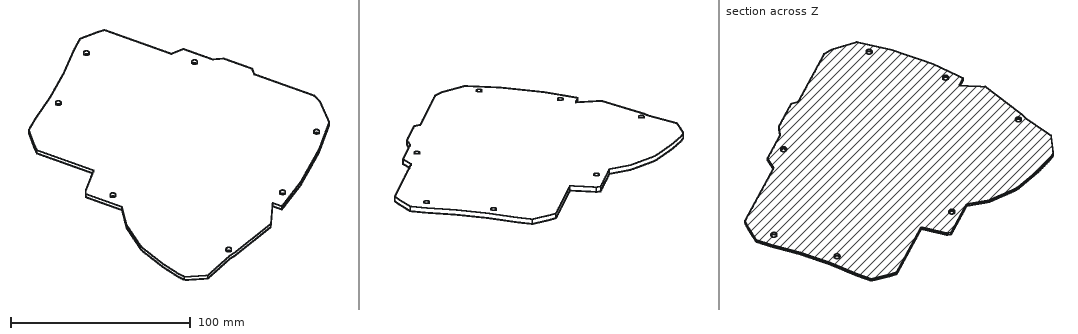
import cadquery as cq

LENGTH = 153.0
WIDTH = 148.2
THICKNESS = 3.0
RIGHT = LENGTH / 2
LEFT = -RIGHT
BACK = WIDTH / 2
FRONT = -BACK

LEFT_AXIS_Y = 19.1
LEFT_HALF_WIDTH = 46.0
CORNER_END_X = -66.6
CORNER_KINK = (-69.5, 43.2)
LEFT_TIP = (LEFT, 34.9)
HOLLOW = [(-76.4, 25.9), (-75.6, 16.7), (-75.0, 9.0)]

STEP_Y = 71.0
STEP_LEFT_X = -21.1
STEP_RIGHT_X = 59.0
STEP_SLOPE_START_X = -25.9
TOP_TAB_BASE = (-3.2, 22.2)
TOP_TAB_CREST = (2.1, 19.6)
BACK_CORNER_KINK = (63.5, 68.4)

BOW_AXIS_Y = 25.3
BOW_FLAT_HALF = 12.5
BOW_HALF = 32.3
BOW_END_X = 74.0

NOTCH_X = 68.3
LOBE_SHOULDER = (73.3, -20.7)
LOBE_SIDE = [(63.4, -47.0), (61.7, -50.0), (56.0, -68.0)]

LOBE_NOSE = [(45.8, -73.6), (44.4, FRONT), (40.7, -73.6)]
LOBE_CURVE = [(30.2, -70.9), (15.6, -65.5), (13.5, -64.5), (0.3, -54.2)]

FRONT_STEP_Y = -43.8
FRONT_STEP_RIGHT_X = -7.2
FRONT_STEP_LEFT_X = -29.2
FRONT_STEP_KINK = (-30.3, -41.6)
FRONT_STEP_TOP_X = -32.0

HOLE_DIAMETER = 3.0
LEFT_HOLE_X = -69.2
LEFT_HOLES_Y = (46.4, 8.1)
RIGHT_HOLE_X = 70.3
RIGHT_HOLES_Y = (48.5, 2.1)
BACK_HOLE = (-11.6, 65.2)
FRONT_HOLE = (-15.2, -38.3)
LOBE_HOLE = (59.2, -46.7)


def left_edge():
    """Left side from its front corner up to its back corner."""
    back_half = [*reversed(HOLLOW), LEFT_TIP, CORNER_KINK, (CORNER_END_X, LEFT_HALF_WIDTH)]
    upper = [(x, LEFT_AXIS_Y + offset) for x, offset in back_half]
    lower = [(x, LEFT_AXIS_Y - offset) for x, offset in reversed(back_half)]
    return lower + upper


def back_edge():
    """Stepped back edge from left to right."""
    return [
        (STEP_SLOPE_START_X, LEFT_AXIS_Y + LEFT_HALF_WIDTH),
        (STEP_LEFT_X, STEP_Y),
        (TOP_TAB_BASE[0], STEP_Y),
        (TOP_TAB_CREST[0], BACK),
        (TOP_TAB_CREST[1], BACK),
        (TOP_TAB_BASE[1], STEP_Y),
        (STEP_RIGHT_X, STEP_Y),
        BACK_CORNER_KINK,
    ]


def right_edge():
    """Bowed right side from back to front, ending inside the notch."""
    return [
        (BOW_END_X, BOW_AXIS_Y + BOW_HALF),
        (RIGHT, BOW_AXIS_Y + BOW_FLAT_HALF),
        (RIGHT, BOW_AXIS_Y - BOW_FLAT_HALF),
        (BOW_END_X, BOW_AXIS_Y - BOW_HALF),
        (NOTCH_X, BOW_AXIS_Y - BOW_HALF),
    ]


def lobe_edge():
    """Thumb lobe from its right shoulder around to the front step."""
    return [LOBE_SHOULDER, *LOBE_SIDE, *LOBE_NOSE, *LOBE_CURVE]


def front_step_edge():
    """Front step from the lobe back to the left side."""
    return [
        (FRONT_STEP_RIGHT_X, FRONT_STEP_Y),
        (FRONT_STEP_LEFT_X, FRONT_STEP_Y),
        FRONT_STEP_KINK,
        (FRONT_STEP_TOP_X, LEFT_AXIS_Y - LEFT_HALF_WIDTH),
    ]


def hole_centres():
    left = [(LEFT_HOLE_X, y) for y in LEFT_HOLES_Y]
    right = [(RIGHT_HOLE_X, y) for y in RIGHT_HOLES_Y]
    return left + right + [BACK_HOLE, FRONT_HOLE, LOBE_HOLE]


outline = left_edge() + back_edge() + right_edge() + lobe_edge() + front_step_edge()
plate = cq.Workplane("XY").polyline(outline).close().extrude(THICKNESS)
holes = cq.Workplane("XY").pushPoints(hole_centres()).circle(HOLE_DIAMETER / 2).extrude(THICKNESS)
result = plate.cut(holes)